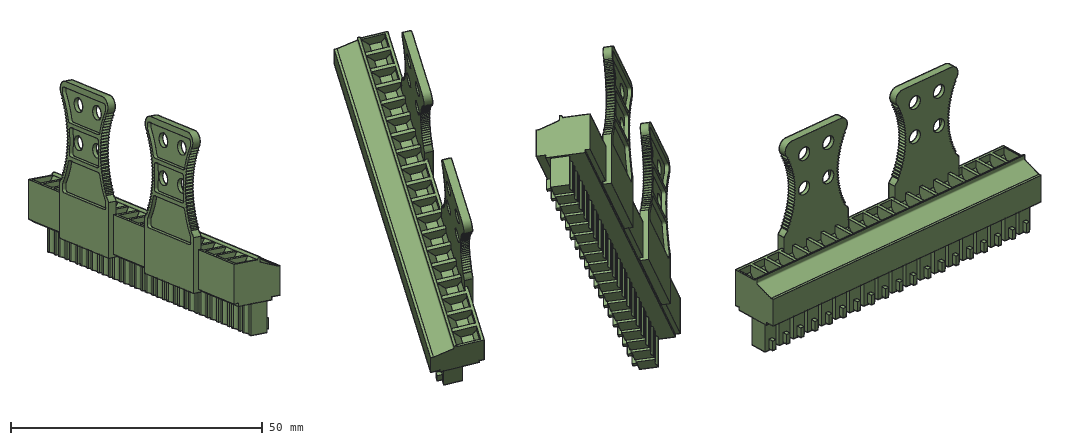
import cadquery as cq
import math

POLE_COUNT = 19
HOUSING_LENGTH = 72.4
POLE_PITCH = HOUSING_LENGTH / POLE_COUNT

HOUSING_FRONT = 1.15
HOUSING_BACK = 12.2
HOUSING_BOTTOM = 6.7
HOUSING_TOP = 15.65
FOOT_FRONT = 2.2
FOOT_BACK = 10.3
FOOT_HEIGHT = 0.65
BACK_LEDGE_WIDTH = 0.6
BACK_LEDGE_Z = 13.55
ROOF_ANGLE = 20.0

RIDGE_FRONT = 6.8
RIDGE_BACK = 7.45
RIDGE_ROUND_RADIUS = 0.5
RIDGE_CREST_Z = HOUSING_TOP + RIDGE_ROUND_RADIUS
RIDGE_FOOT_RADIUS = 0.3

ENTRY_WIDTH = 3.05
ENTRY_FRONT = 1.8
ENTRY_BACK = RIDGE_FRONT
ENTRY_FLOOR_FRONT = 2.7
ENTRY_FLOOR_BACK = 5.1
ENTRY_BACK_ANGLE = 60.0
ENTRY_FRONT_ANGLE = 57.0
ENTRY_FLOOR_Z = HOUSING_TOP - (ENTRY_BACK - ENTRY_FLOOR_BACK) * math.tan(math.radians(ENTRY_BACK_ANGLE))

PLUG_WIDTH = 3.0
PLUG_FRONT = 5.5
PLUG_BACK = 9.4
GROOVE_WIDTH = 1.75
GROOVE_RADIUS = 1.4
KEY_WIDTH = 0.9
KEY_DEPTH = 1.1
KEY_BOTTOM = 0.35
KEY_TOP = 2.6

PLATE_SPACING = 29.9
PLATE_THICKNESS = ENTRY_FRONT
PLATE_HALF_WIDTH = 8.7
PLATE_BOTTOM = HOUSING_BOTTOM
PLATE_TOP = 39.75
SHOULDER_Z = 18.3
SHOULDER_BREAK_HALF_WIDTH = 8.4
SHOULDER_BREAK_Z = 18.75
TOP_EDGE_HALF_LENGTH = 6.5

WAIST_Z = 27.95
WAIST_HALF_WIDTH = 6.0
WAIST_RADIUS = 18.1
WAIST_HALF_ANGLE = 27.2
TOOTH_COUNT = 26
TOOTH_DEPTH = 0.35

PANEL_DEPTH = 0.9
PANEL_HALF_WIDTH = 7.6
PANEL_WAIST_HALF_WIDTH = 5.0
PANEL_WAIST_RADIUS = 18.4
PANEL_WAIST_Z = 27.65
PANEL_CORNER_RADIUS = 0.6
PANEL_SPANS = [(16.5, 23.7), (24.55, 30.6), (31.5, 38.45)]

HOLE_DIAMETER = 3.0
HOLE_SPACING = 6.5
HOLE_HEIGHTS = [27.6, 35.5]

POLE_POSITIONS = [(i - (POLE_COUNT - 1) / 2) * POLE_PITCH for i in range(POLE_COUNT)]
PLATE_POSITIONS = [-PLATE_SPACING / 2, PLATE_SPACING / 2]


def block(x_range, y_range, z_range):
    """Axis-aligned box spanning the three given ranges."""
    size = [end - start for start, end in (x_range, y_range, z_range)]
    corner = (x_range[0], y_range[0], z_range[0])
    return cq.Workplane("XY").box(*size, centered=False).translate(corner)


def extrude_side_profile(points, x_center, width):
    """Extrude a closed (Y, Z) outline along X, centred on x_center."""
    profile = cq.Workplane("YZ").polyline(points).close()
    return profile.extrude(width / 2, both=True).translate((x_center, 0, 0))


def make_housing_shell():
    """Solid bar with a stepped foot, a sloped back roof and a rounded ridge behind the entries."""
    foot_top = HOUSING_BOTTOM + FOOT_HEIGHT
    roof_back = HOUSING_BACK - BACK_LEDGE_WIDTH
    roof_front_z = BACK_LEDGE_Z + (roof_back - RIDGE_BACK) * math.tan(math.radians(ROOF_ANGLE))
    outline = [
        (FOOT_FRONT, HOUSING_BOTTOM),
        (FOOT_BACK, HOUSING_BOTTOM),
        (FOOT_BACK, foot_top),
        (HOUSING_BACK, foot_top),
        (HOUSING_BACK, BACK_LEDGE_Z),
        (roof_back, BACK_LEDGE_Z),
        (RIDGE_BACK, roof_front_z),
        (RIDGE_BACK, RIDGE_CREST_Z),
        (RIDGE_FRONT, RIDGE_CREST_Z),
        (RIDGE_FRONT, HOUSING_TOP),
        (HOUSING_FRONT, HOUSING_TOP),
        (HOUSING_FRONT, foot_top),
        (FOOT_FRONT, foot_top),
    ]
    shell = extrude_side_profile(outline, 0, HOUSING_LENGTH)
    ridge_foot = cq.selectors.NearestToPointSelector((0, RIDGE_BACK, roof_front_z))
    shell = shell.edges(ridge_foot).fillet(RIDGE_FOOT_RADIUS)
    round_center_y = RIDGE_FRONT + RIDGE_ROUND_RADIUS
    ridge_corner = block(
        (-HOUSING_LENGTH / 2, HOUSING_LENGTH / 2),
        (RIDGE_FRONT, round_center_y),
        (HOUSING_TOP, RIDGE_CREST_Z),
    )
    ridge_round = (
        cq.Workplane("YZ")
        .center(round_center_y, HOUSING_TOP)
        .circle(RIDGE_ROUND_RADIUS)
        .extrude(HOUSING_LENGTH / 2, both=True)
    )
    return shell.cut(ridge_corner.cut(ridge_round))


def make_wire_entry(x_center):
    """Void of one wire entry: flat floor, sloped back, sloped lower front."""
    front_slope_top = ENTRY_FLOOR_Z + (ENTRY_FLOOR_FRONT - ENTRY_FRONT) * math.tan(
        math.radians(ENTRY_FRONT_ANGLE)
    )
    outline = [
        (ENTRY_FRONT, HOUSING_TOP),
        (ENTRY_FRONT, front_slope_top),
        (ENTRY_FLOOR_FRONT, ENTRY_FLOOR_Z),
        (ENTRY_FLOOR_BACK, ENTRY_FLOOR_Z),
        (ENTRY_BACK, HOUSING_TOP),
    ]
    return extrude_side_profile(outline, x_center, ENTRY_WIDTH)


def make_plug(x_center):
    """One plug stem with its front groove and back key."""
    half_width = PLUG_WIDTH / 2
    half_groove = GROOVE_WIDTH / 2
    groove_depth = GROOVE_RADIUS - math.sqrt(GROOVE_RADIUS**2 - half_groove**2)
    stem = (
        cq.Workplane("XY")
        .moveTo(-half_width, PLUG_FRONT)
        .lineTo(-half_groove, PLUG_FRONT)
        .threePointArc((0, PLUG_FRONT + groove_depth), (half_groove, PLUG_FRONT))
        .lineTo(half_width, PLUG_FRONT)
        .lineTo(half_width, PLUG_BACK)
        .lineTo(-half_width, PLUG_BACK)
        .close()
        .extrude(HOUSING_BOTTOM)
    )
    key = block(
        (-KEY_WIDTH / 2, KEY_WIDTH / 2),
        (PLUG_BACK, PLUG_BACK + KEY_DEPTH),
        (KEY_BOTTOM, KEY_TOP),
    )
    return stem.union(key).translate((x_center, 0, 0))


def make_plate_recess(x_center):
    """Void in the housing front that seats one grip plate."""
    return block(
        (x_center - PLATE_HALF_WIDTH, x_center + PLATE_HALF_WIDTH),
        (0, PLATE_THICKNESS),
        (PLATE_BOTTOM, PLATE_TOP),
    )


def make_housing():
    """Housing with all its entries, plugs and plate recesses, as one solid."""
    housing = make_housing_shell()
    for x in POLE_POSITIONS:
        housing = housing.cut(make_wire_entry(x)).union(make_plug(x))
    for x in PLATE_POSITIONS:
        housing = housing.cut(make_plate_recess(x))
    return housing


def waist_teeth():
    """Right-hand (X, Z) zigzag of the waist from top to bottom, starting and ending in a root."""
    center_x = WAIST_HALF_WIDTH + WAIST_RADIUS
    points = []
    for i in range(2 * TOOTH_COUNT + 1):
        is_tip = i % 2 == 1
        radius = WAIST_RADIUS if is_tip else WAIST_RADIUS + TOOTH_DEPTH
        angle = math.radians(WAIST_HALF_ANGLE * (1 - i / TOOTH_COUNT))
        points.append((center_x - radius * math.cos(angle), WAIST_Z + radius * math.sin(angle)))
    return points


def make_plate_blank():
    """Plate body: round top corners, toothed waist, sloped shoulders, straight base."""
    teeth = waist_teeth()
    half = (
        cq.Workplane("XZ")
        .moveTo(0, PLATE_TOP)
        .lineTo(TOP_EDGE_HALF_LENGTH, PLATE_TOP)
        .tangentArcPoint(teeth[0], relative=False)
    )
    for point in teeth[1:]:
        half = half.lineTo(*point)
    half = (
        half.lineTo(SHOULDER_BREAK_HALF_WIDTH, SHOULDER_BREAK_Z)
        .lineTo(PLATE_HALF_WIDTH, SHOULDER_Z)
        .lineTo(PLATE_HALF_WIDTH, PLATE_BOTTOM)
        .lineTo(0, PLATE_BOTTOM)
        .close()
        .extrude(-PLATE_THICKNESS)
    )
    return half.union(half.mirror("YZ"))


def make_panel(bottom, top):
    """Void of one front panel, its sides bowed inward like the waist."""
    panel = block((-PANEL_HALF_WIDTH, PANEL_HALF_WIDTH), (0, PANEL_DEPTH), (bottom, top))
    side_center = PANEL_WAIST_HALF_WIDTH + PANEL_WAIST_RADIUS
    sides = (
        cq.Workplane("XZ")
        .pushPoints([(-side_center, PANEL_WAIST_Z), (side_center, PANEL_WAIST_Z)])
        .circle(PANEL_WAIST_RADIUS)
        .extrude(-PANEL_DEPTH)
    )
    return panel.cut(sides).edges("|Y").fillet(PANEL_CORNER_RADIUS)


def make_plate(x_center):
    """Grip plate with its front panels and through holes."""
    plate = make_plate_blank()
    for bottom, top in PANEL_SPANS:
        plate = plate.cut(make_panel(bottom, top))
    hole_centers = [(side * HOLE_SPACING / 2, z) for side in (-1, 1) for z in HOLE_HEIGHTS]
    holes = (
        cq.Workplane("XZ")
        .pushPoints(hole_centers)
        .circle(HOLE_DIAMETER / 2)
        .extrude(-PLATE_THICKNESS)
    )
    return plate.cut(holes).translate((x_center, 0, 0))


housing = make_housing()
plates = [make_plate(x) for x in PLATE_POSITIONS]

result = cq.Compound.makeCompound([housing.val(), *[plate.val() for plate in plates]])